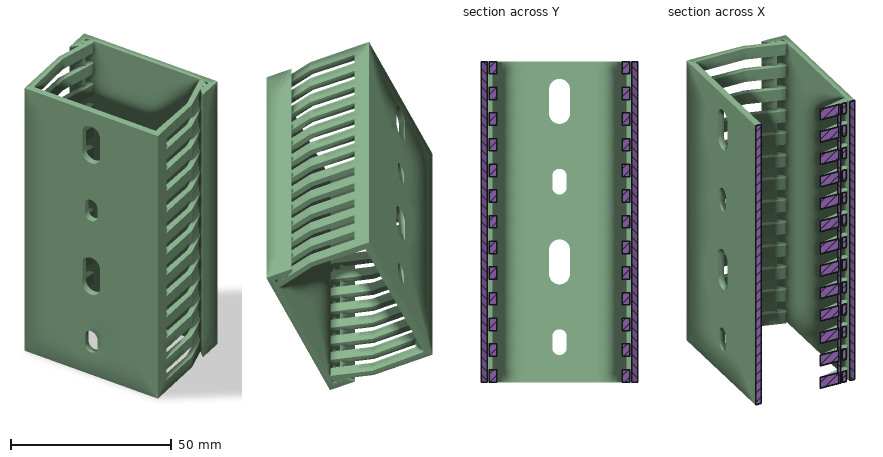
import cadquery as cq
import math

WIDTH = 49.0
DEPTH = 35.0
LENGTH = 100.0
HALF_WIDTH = WIDTH / 2

BASE_THICKNESS = 2.1
WALL_FOOT_THICKNESS = 2.1
FINGER_THICKNESS = 1.7
BEND_Y = 20.0
FINGER_LEAN = math.radians(15.0)

SHELF_Y = 30.3
HEAD_TIP_INSET = 1.4
HEAD_TIP_HEIGHT = 0.5
HEAD_TOP_INSET = 3.7
HEAD_CORNER_RADIUS = 0.8

FINGER_GAP = 4.0
FINGER_PITCH = 8.0
GAP_COUNT = 12
GAP_FLOOR_Y = 5.0

LARGE_SLOT_LENGTH = 14.0
LARGE_SLOT_WIDTH = 6.5
SMALL_SLOT_LENGTH = 8.0
SMALL_SLOT_WIDTH = 4.5
SLOT_PITCH = LENGTH / 2
LARGE_SLOT_FIRST_Z = 37.5
SMALL_SLOT_FIRST_Z = 12.5

COVER_THICKNESS = 2.0
COVER_INNER_Y = DEPTH - COVER_THICKNESS
BARB_INSET = 3.6
BARB_TOP_Y = 30.0
LIP_END_Y = BARB_TOP_Y - BARB_INSET


def mirror_outline(right_half):
    """Complete an outline from its right half, listed from the middle of one side to the other."""
    return right_half + [(-x, y) for x, y in reversed(right_half)]


def extrude_outline(points):
    return cq.Workplane("XY").polyline(points).close().extrude(LENGTH)


def make_trunk_profile():
    """Extrude the base with two side walls that lean inward and end in hooked heads."""
    lean = math.tan(FINGER_LEAN)
    level_thickness = FINGER_THICKNESS / math.cos(FINGER_LEAN)
    bend_inner_x = HALF_WIDTH - FINGER_THICKNESS
    bend_inner_y = BEND_Y - (level_thickness - FINGER_THICKNESS) / lean

    shelf_x = HALF_WIDTH - (SHELF_Y - BEND_Y) * lean
    tip_x = HALF_WIDTH - HEAD_TIP_INSET
    tip_y = SHELF_Y + (tip_x - shelf_x) * lean
    head_inner_x = HALF_WIDTH - level_thickness - (COVER_INNER_Y - BEND_Y) * lean

    right_half = [
        (HALF_WIDTH, 0),
        (HALF_WIDTH, BEND_Y),
        (shelf_x, SHELF_Y),
        (tip_x, tip_y),
        (tip_x, tip_y + HEAD_TIP_HEIGHT),
        (HALF_WIDTH - HEAD_TOP_INSET, COVER_INNER_Y),
        (head_inner_x, COVER_INNER_Y),
        (bend_inner_x, bend_inner_y),
        (HALF_WIDTH - WALL_FOOT_THICKNESS, BASE_THICKNESS),
    ]
    profile = extrude_outline(mirror_outline(right_half))
    for x in (-head_inner_x, head_inner_x):
        corner = cq.selectors.NearestToPointSelector((x, COVER_INNER_Y, LENGTH / 2))
        profile = profile.edges("|Z").edges(corner).fillet(HEAD_CORNER_RADIUS)
    return profile


def make_finger_gaps():
    """Cutters, across the full width, that split both side walls into fingers."""
    height = DEPTH - GAP_FLOOR_Y
    first_z = (LENGTH - (GAP_COUNT - 1) * FINGER_PITCH) / 2
    gap = cq.Workplane("XY").box(WIDTH, height, FINGER_GAP)
    gaps = cq.Workplane("XY")
    for index in range(GAP_COUNT):
        gaps.add(gap.translate((0, GAP_FLOOR_Y + height / 2, first_z + index * FINGER_PITCH)))
    return gaps.combine()


def make_mounting_slots(first_z, length, width):
    """Cutters for a pair of round-ended slots through the base, long along Z."""
    centers = [(0, first_z), (0, first_z + SLOT_PITCH)]
    return cq.Workplane("XZ").pushPoints(centers).slot2D(length, width, 90).extrude(-BASE_THICKNESS)


def make_trunk():
    trunk = make_trunk_profile().cut(make_finger_gaps())
    trunk = trunk.cut(make_mounting_slots(LARGE_SLOT_FIRST_Z, LARGE_SLOT_LENGTH, LARGE_SLOT_WIDTH))
    return trunk.cut(make_mounting_slots(SMALL_SLOT_FIRST_Z, SMALL_SLOT_LENGTH, SMALL_SLOT_WIDTH))


def make_cover(trunk):
    """Flat cover with barbed lips, recessed where the finger heads snap in."""
    lip_inner_x = HALF_WIDTH - COVER_THICKNESS
    right_half = [
        (HALF_WIDTH, DEPTH),
        (HALF_WIDTH, LIP_END_Y),
        (HALF_WIDTH - BARB_INSET, BARB_TOP_Y),
        (lip_inner_x, BARB_TOP_Y),
        (lip_inner_x, COVER_INNER_Y),
    ]
    return extrude_outline(mirror_outline(right_half)).cut(trunk)


trunk = make_trunk()
cover = make_cover(trunk)

result = cq.Compound.makeCompound([trunk.solids().val(), cover.solids().val()])